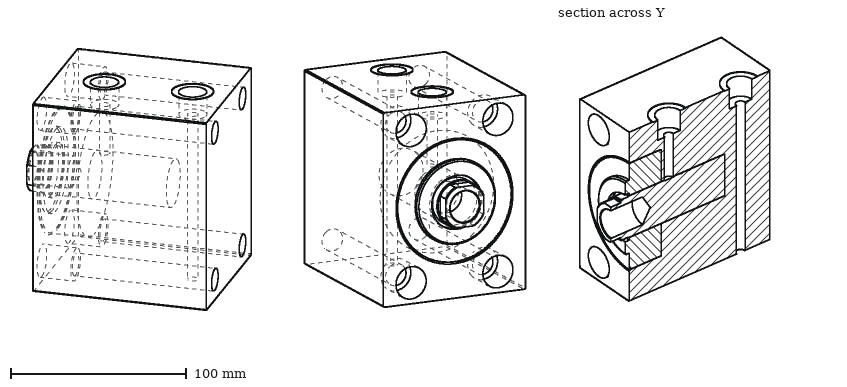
import cadquery as cq
import math


overall_length = 116.5
rod_projection = 13.5
housing_length = overall_length - rod_projection
housing_width = 90.0
housing_height = 115.0
housing_edge_chamfer = 0.7

mount_spacing_y = 55.0
mount_spacing_z = 90.0
mount_hole_diameter = 13.0
mount_counterbore_diameter = 19.1
mount_counterbore_depth = 20.0

front_port_x = 29.1
port_spacing = 52.4
rear_port_x = front_port_x + port_spacing
port_spotface_diameter = 24.0
port_spotface_depth = 0.3
port_thread_diameter = 16.1
port_thread_depth = 14.0
port_drill_diameter = 6.0

gland_diameter = 72.0
gland_depth = 23.3
gland_seat_chamfer = 1.0
collar_diameter = 50.0
collar_height = 3.0
collar_chamfer = 0.9
wiper_recess_diameter = 31.8
wiper_recess_depth = 3.0

rod_diameter = 28.0
rod_chamfer = 0.5
rod_end_x = 69.9
head_length = 7.2
head_diameter = 26.8
head_across_flats = 24.0
head_chamfer = 0.5
tip_bore_diameter = 18.5
tip_bore_depth = 23.3
tip_bore_chamfer = 0.3
tip_drill_angle = 118.0


def x_cylinder(diameter, x_start, x_end):
    """Cylinder on the rod axis from x_start to x_end."""
    return cq.Workplane("YZ", origin=(x_start, 0, 0)).circle(diameter / 2).extrude(x_end - x_start)


def cut_mounting_holes(body):
    """Drill the four through holes and counterbore them from the front face."""
    return (
        body.faces("<X").workplane(centerOption="CenterOfBoundBox")
        .rect(mount_spacing_y, mount_spacing_z, forConstruction=True)
        .vertices()
        .cboreHole(mount_hole_diameter, mount_counterbore_diameter, mount_counterbore_depth)
    )


def port_cutter(x, drill_bottom_z):
    """Spotface, thread bore and oil drilling, going down from the top face."""
    top = cq.Workplane("XY", origin=(x, 0, housing_height / 2))
    spotface = top.circle(port_spotface_diameter / 2).extrude(-port_spotface_depth)
    thread = top.circle(port_thread_diameter / 2).extrude(-port_thread_depth)
    drilling = top.circle(port_drill_diameter / 2).extrude(drill_bottom_z - housing_height / 2)
    return spotface.union(thread).union(drilling)


def gland_seat_cutter():
    """Recess for the gland, with a chamfered mouth at the front face."""
    seat_radius = gland_diameter / 2
    mouth_radius = seat_radius + gland_seat_chamfer
    return (
        cq.Workplane("XY")
        .polyline([
            (0, 0),
            (0, mouth_radius),
            (gland_seat_chamfer, seat_radius),
            (gland_depth, seat_radius),
            (gland_depth, 0),
        ])
        .close()
        .revolve(360, (0, 0, 0), (1, 0, 0))
    )


def make_housing():
    block = (
        cq.Workplane("XY")
        .box(housing_length, housing_width, housing_height, centered=(False, True, True))
        .edges("|X").chamfer(housing_edge_chamfer)
    )
    block = cut_mounting_holes(block)
    block = block.cut(port_cutter(front_port_x, 0))
    block = block.cut(port_cutter(rear_port_x, -housing_height / 2))
    block = block.cut(gland_seat_cutter())
    return block.cut(x_cylinder(rod_diameter, 0, rod_end_x))


def make_gland():
    plug = x_cylinder(gland_diameter, 0, gland_depth)
    collar = x_cylinder(collar_diameter, -collar_height, 0).faces("<X").chamfer(collar_chamfer)
    rod_hole = x_cylinder(rod_diameter, -collar_height, gland_depth)
    wiper_recess = x_cylinder(wiper_recess_diameter, -collar_height, wiper_recess_depth - collar_height)
    return plug.union(collar).cut(rod_hole).cut(wiper_recess)


def make_rod():
    tip_x = -rod_projection
    shoulder_x = tip_x + head_length
    shaft = x_cylinder(rod_diameter, shoulder_x, rod_end_x).faces("<X").chamfer(rod_chamfer)
    round_head = x_cylinder(head_diameter, tip_x, shoulder_x).faces("<X").chamfer(head_chamfer)
    square_head = cq.Workplane("XY").box(
        head_length, head_across_flats, head_across_flats, centered=(False, True, True)
    ).translate((tip_x, 0, 0))
    head = round_head.intersect(square_head)

    bore_radius = tip_bore_diameter / 2
    cone_length = bore_radius / math.tan(math.radians(tip_drill_angle / 2))
    bore_end_x = tip_x + tip_bore_depth
    bore = (
        cq.Workplane("XY")
        .polyline([
            (tip_x, 0),
            (tip_x, bore_radius + tip_bore_chamfer),
            (tip_x + tip_bore_chamfer, bore_radius),
            (bore_end_x, bore_radius),
            (bore_end_x + cone_length, 0),
        ])
        .close()
        .revolve(360, (0, 0, 0), (1, 0, 0))
    )
    return shaft.union(head).cut(bore)


housing = make_housing()
gland = make_gland()
rod = make_rod()

result = cq.Compound.makeCompound([housing.val(), gland.val(), rod.val()])